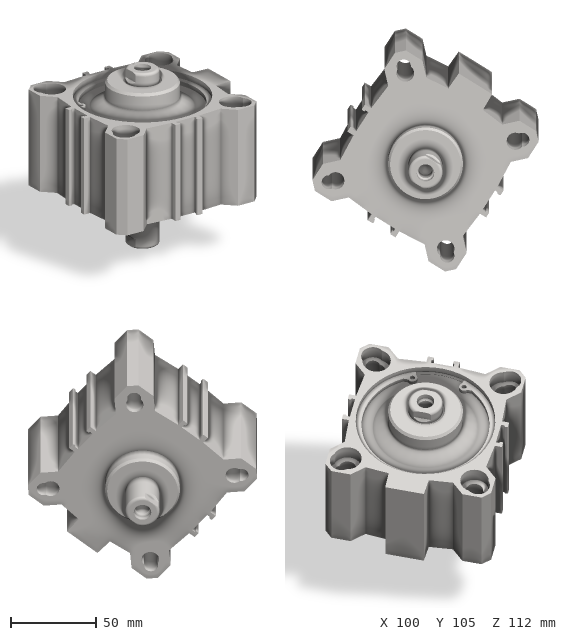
import cadquery as cq
import math

ROD_LENGTH = 112.0
HOUSING_BOTTOM = 33.0
HOUSING_HEIGHT = 61.2
BOSS_HEIGHT = 10.1
HOUSING_TOP = HOUSING_BOTTOM + HOUSING_HEIGHT
BOSS_BOTTOM = HOUSING_BOTTOM - BOSS_HEIGHT
BOSS_TOP = HOUSING_TOP + BOSS_HEIGHT

ROD_DIA = 20.0
ROD_END_FILLET = 1.8
ACROSS_FLATS = 17.0
FLAT_LENGTH = 5.8
THREAD_DIA = 10.3
THREAD_DEPTH = 3.6
DRILL_DIA = 8.4
DRILL_DEPTH = 14.6
DRILL_POINT_ANGLE = 118.0

BOSS_DIA = 44.0
BOSS_CHAMFER_WIDTH = 1.2
BOSS_CHAMFER_HEIGHT = 1.6

WIDTH = 100.0
DEPTH_WITH_PORT_BLOCK = 105.0
LUG_FACE = WIDTH / 2
LUG_INNER = 33.7
LUG_CHAMFER = 4.7
VALLEY = 42.7
VALLEY_END = LUG_INNER - (LUG_FACE - VALLEY)
WALL = 44.0
RAIL_OUTER = 9.6
RAIL_INNER = 6.8
RAIL_TIP = 48.3
HOOK_INNER = 5.9
HOOK_START = 46.1
HOOK_FILLET = 0.6
PORT_BLOCK_FACE = DEPTH_WITH_PORT_BLOCK - LUG_FACE
PORT_BLOCK_FACE_HALF = 11.6
PORT_BLOCK_BASE_HALF = 12.1

BOLT_OFFSET = 38.3
BOLT_DIA = 10.3
BOLT_COUNTERBORE_DIA = 16.7
RELIEF_OFFSET = 41.2
RELIEF_DIA = 8.4
RELIEF_COUNTERBORE_DIA = 13.8
COUNTERBORE_DEPTH = 9.2

MOUTH_DIA = 82.1
GROOVE_DIA = 85.6
MOUTH_DEPTH = 3.7
RING_THICKNESS = 2.7
RING_TOP = HOUSING_TOP - MOUTH_DEPTH
COVER_FACE = RING_TOP - RING_THICKNESS

FLANGE_DIA = 81.6
FLANGE_THICKNESS = 4.5
SPIGOT_DIA = 80.0
SPIGOT_LENGTH = 11.2
FLANGE_BOTTOM = COVER_FACE - FLANGE_THICKNESS
COVER_BOTTOM = FLANGE_BOTTOM - SPIGOT_LENGTH
CONE_DIA = 62.0
CONE_HEIGHT = 5.4
CONE_TOP = COVER_FACE + CONE_HEIGHT
CONE_FILLET = 1.0

RING_INNER_DIA = 75.3
RING_GAP_HALF_ANGLE = 21.0
EYE_X = 15.6
EYE_Y = -33.4
EYE_RADIUS = 2.9
EYE_HOLE_DIA = 3.0
SHOULDER_X = 20.8
SHOULDER_Y = -31.5

WIPER_DIA = 22.0
WIPER_LIP_DIA = 20.6
WIPER_SEAT_DIA = 23.0
WIPER_DEPTH = 3.4
WIPER_SEAT_CHAMFER = (WIPER_SEAT_DIA - WIPER_DIA) / 2
WIPER_LIP_BEVEL = (WIPER_LIP_DIA - ROD_DIA) / 2
WIPER_BOTTOM = BOSS_TOP - WIPER_DEPTH
WIPER_TOP = BOSS_TOP - WIPER_SEAT_CHAMFER


def cylinder(diameter, bottom, top):
    return cq.Workplane("XY").workplane(offset=bottom).circle(diameter / 2).extrude(top - bottom)


def revolved(profile):
    """Turn a closed profile of (radius, height) points around the rod axis."""
    return cq.Workplane("XZ").polyline(profile).close().revolve(360, (0, 0, 0), (0, 1, 0))


def rail_side():
    """Outline of the +X side, from its -Y lug to its +Y lug, with two hooked rails."""
    lower_half = [
        (LUG_FACE, LUG_CHAMFER - LUG_FACE),
        (LUG_FACE, -LUG_INNER),
        (VALLEY, -VALLEY_END),
        (WALL, -RAIL_OUTER),
        (RAIL_TIP, -RAIL_OUTER),
        (RAIL_TIP, -HOOK_INNER),
        (HOOK_START, -HOOK_INNER),
        (HOOK_START, -RAIL_INNER),
        (WALL, -RAIL_INNER),
    ]
    return lower_half + [(x, -y) for x, y in reversed(lower_half)]


def port_side():
    """Outline of the +Y side, from its +X lug to its -X lug, with the port block."""
    right_half = [
        (LUG_FACE - LUG_CHAMFER, LUG_FACE),
        (LUG_INNER, LUG_FACE),
        (VALLEY_END, VALLEY),
        (PORT_BLOCK_BASE_HALF, WALL),
        (PORT_BLOCK_FACE_HALF, PORT_BLOCK_FACE),
    ]
    return right_half + [(-x, y) for x, y in reversed(right_half)]


def hook_corners():
    """Places of the two rounded corners on each rail's hook, on the three rail sides."""
    right = [(x, side * HOOK_INNER) for x in (RAIL_TIP, HOOK_START) for side in (-1, 1)]
    left = [(-x, y) for x, y in right]
    front = [(y, -x) for x, y in right]
    return right + left + front


def housing_profile():
    right = rail_side()
    left = [(-x, -y) for x, y in right]
    front = [(y, -x) for x, y in right]
    outline = right + port_side() + left + front
    base = cq.Workplane("XY").workplane(offset=HOUSING_BOTTOM)
    profile = base.polyline(outline).close().extrude(HOUSING_HEIGHT)
    middle = HOUSING_BOTTOM + HOUSING_HEIGHT / 2
    hook_edges = profile.newObject([])
    for x, y in hook_corners():
        hook_edges = hook_edges.add(profile.edges(cq.NearestToPointSelector((x, y, middle))))
    return hook_edges.fillet(HOOK_FILLET)


def corner_hole(x_side, y_side):
    """Cutter for one corner: both overlapping through holes and their counterbores."""
    floor = HOUSING_TOP - COUNTERBORE_DEPTH
    bolt = cylinder(BOLT_DIA, HOUSING_BOTTOM, HOUSING_TOP)
    bolt = bolt.union(cylinder(BOLT_COUNTERBORE_DIA, floor, HOUSING_TOP))
    relief = cylinder(RELIEF_DIA, HOUSING_BOTTOM, HOUSING_TOP)
    relief = relief.union(cylinder(RELIEF_COUNTERBORE_DIA, floor, HOUSING_TOP))
    bolt = bolt.translate((x_side * BOLT_OFFSET, y_side * BOLT_OFFSET, 0))
    return bolt.union(relief.translate((x_side * RELIEF_OFFSET, y_side * RELIEF_OFFSET, 0)))


def build_housing():
    boss_radius = BOSS_DIA / 2
    lower_boss = revolved([
        (0, BOSS_BOTTOM),
        (boss_radius - BOSS_CHAMFER_WIDTH, BOSS_BOTTOM),
        (boss_radius, BOSS_BOTTOM + BOSS_CHAMFER_HEIGHT),
        (boss_radius, HOUSING_BOTTOM),
        (0, HOUSING_BOTTOM),
    ])
    body = housing_profile().union(lower_boss)
    for x_side in (-1, 1):
        for y_side in (-1, 1):
            body = body.cut(corner_hole(x_side, y_side))
    body = body.cut(cylinder(MOUTH_DIA, FLANGE_BOTTOM, HOUSING_TOP))
    body = body.cut(cylinder(GROOVE_DIA, COVER_FACE, RING_TOP))
    body = body.cut(cylinder(SPIGOT_DIA, COVER_BOTTOM, FLANGE_BOTTOM))
    return body.cut(cylinder(ROD_DIA, BOSS_BOTTOM, COVER_BOTTOM))


def circle_at(diameter, height):
    """Selector for the circular edge of this diameter at this height."""
    margin = 0.1
    reach = diameter / 2 + margin
    low_corner = (-reach, -reach, height - margin)
    high_corner = (reach, reach, height + margin)
    return cq.selectors.BoxSelector(low_corner, high_corner, boundingbox=True)


def build_cover():
    boss_radius = BOSS_DIA / 2
    body = revolved([
        (0, COVER_BOTTOM),
        (SPIGOT_DIA / 2, COVER_BOTTOM),
        (SPIGOT_DIA / 2, FLANGE_BOTTOM),
        (FLANGE_DIA / 2, FLANGE_BOTTOM),
        (FLANGE_DIA / 2, COVER_FACE),
        (CONE_DIA / 2, COVER_FACE),
        (boss_radius, CONE_TOP),
        (boss_radius, BOSS_TOP - BOSS_CHAMFER_HEIGHT),
        (boss_radius - BOSS_CHAMFER_WIDTH, BOSS_TOP),
        (0, BOSS_TOP),
    ])
    body = body.edges(circle_at(CONE_DIA, COVER_FACE)).fillet(CONE_FILLET)
    body = body.edges(circle_at(BOSS_DIA, CONE_TOP)).fillet(CONE_FILLET)
    wiper_seat = revolved([
        (0, WIPER_BOTTOM),
        (WIPER_DIA / 2, WIPER_BOTTOM),
        (WIPER_DIA / 2, WIPER_TOP),
        (WIPER_SEAT_DIA / 2, BOSS_TOP),
        (0, BOSS_TOP),
    ])
    return body.cut(wiper_seat).cut(cylinder(ROD_DIA, COVER_BOTTOM, BOSS_TOP))


def build_wiper():
    return revolved([
        (ROD_DIA / 2, WIPER_BOTTOM),
        (WIPER_DIA / 2, WIPER_BOTTOM),
        (WIPER_DIA / 2, WIPER_TOP),
        (WIPER_LIP_DIA / 2, WIPER_TOP),
        (ROD_DIA / 2, WIPER_TOP - WIPER_LIP_BEVEL),
    ])


def build_ring():
    base = cq.Workplane("XY").workplane(offset=COVER_FACE)
    ring = base.circle(GROOVE_DIA / 2).circle(RING_INNER_DIA / 2).extrude(RING_THICKNESS)
    gap_depth = GROOVE_DIA
    gap_half_width = gap_depth * math.tan(math.radians(RING_GAP_HALF_ANGLE))
    gap = [(0, 0), (-gap_half_width, -gap_depth), (gap_half_width, -gap_depth)]
    ring = ring.cut(base.polyline(gap).close().extrude(RING_THICKNESS))
    for side in (-1, 1):
        eye = base.center(side * EYE_X, EYE_Y)
        shoulder = [
            (side * SHOULDER_X, SHOULDER_Y),
            (side * EYE_X, SHOULDER_Y),
            (side * EYE_X, EYE_Y - EYE_RADIUS),
        ]
        ring = ring.union(base.polyline(shoulder).close().extrude(RING_THICKNESS))
        ring = ring.union(eye.circle(EYE_RADIUS).extrude(RING_THICKNESS))
        ring = ring.cut(eye.circle(EYE_HOLE_DIA / 2).extrude(RING_THICKNESS))
    return ring


def rod_end_cutter():
    """Two wrench flats with 45-degree run-outs and a threaded hole, for the end at Z = 0."""
    rod_radius = ROD_DIA / 2
    flat_distance = ACROSS_FLATS / 2
    run_out = rod_radius - flat_distance
    flat = (
        cq.Workplane("YZ")
        .polyline([
            (flat_distance, 0),
            (rod_radius, 0),
            (rod_radius, FLAT_LENGTH + run_out),
            (flat_distance, FLAT_LENGTH),
        ])
        .close()
        .extrude(rod_radius, both=True)
    )
    drill_radius = DRILL_DIA / 2
    shoulder = THREAD_DIA / 2 - drill_radius
    point_height = drill_radius / math.tan(math.radians(DRILL_POINT_ANGLE / 2))
    hole = revolved([
        (0, 0),
        (THREAD_DIA / 2, 0),
        (THREAD_DIA / 2, THREAD_DEPTH),
        (drill_radius, THREAD_DEPTH + shoulder),
        (drill_radius, DRILL_DEPTH),
        (0, DRILL_DEPTH + point_height),
    ])
    return flat.union(flat.mirror("XZ")).union(hole)


def build_rod():
    rod = cylinder(ROD_DIA, 0, ROD_LENGTH).faces("<Z or >Z").edges().fillet(ROD_END_FILLET)
    lower_end = rod_end_cutter()
    upper_end = lower_end.mirror("XY").translate((0, 0, ROD_LENGTH))
    return rod.cut(lower_end).cut(upper_end)


housing = build_housing()
cover = build_cover()
wiper = build_wiper()
ring = build_ring()
rod = build_rod()

result = cq.Compound.makeCompound([
    housing.solids().val(),
    cover.solids().val(),
    wiper.solids().val(),
    ring.solids().val(),
    rod.solids().val(),
])